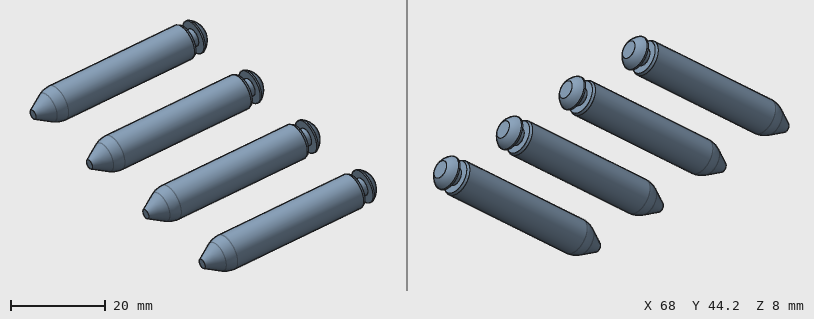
import cadquery as cq
import math

pin_count = 4
pin_pitch = 20.0

pin_diameter = 8.0
pin_length = 40.0
rear_chamfer_depth = 0.3
rear_chamfer_length = 0.6
tip_diameter = 2.2
tip_half_angle = math.radians(30.0)
nose_blend_radius = 5.0

shank_diameter = 4.0
shank_length = 10.0
head_diameter = 7.6
head_height = 2.2
head_rim_height = 0.4
head_flat_diameter = 4.0
head_gap = 2.0

hole_depth = shank_length - head_gap
AXIS_START = (0, 0, 0)
AXIS_END = (0, 1, 0)


def make_pin(x):
    """Pin with a chamfered rear, a conical nose and a blind hole for the screw."""
    radius = pin_diameter / 2
    tip_radius = tip_diameter / 2
    tip_y = -pin_length

    cone_base_radius = radius - nose_blend_radius * (1 - math.cos(tip_half_angle))
    cone_base_y = tip_y + (cone_base_radius - tip_radius) / math.tan(tip_half_angle)
    blend_start_y = cone_base_y + nose_blend_radius * math.sin(tip_half_angle)
    blend_center_radius = radius - nose_blend_radius
    half_turn = tip_half_angle / 2
    blend_middle = (
        blend_center_radius + nose_blend_radius * math.cos(half_turn),
        blend_start_y - nose_blend_radius * math.sin(half_turn),
    )

    profile = (
        cq.Workplane("XY")
        .moveTo(0, tip_y)
        .lineTo(tip_radius, tip_y)
        .lineTo(cone_base_radius, cone_base_y)
        .threePointArc(blend_middle, (radius, blend_start_y))
        .lineTo(radius, -rear_chamfer_length)
        .lineTo(radius - rear_chamfer_depth, 0)
        .lineTo(shank_diameter / 2, 0)
        .lineTo(shank_diameter / 2, -hole_depth)
        .lineTo(0, -hole_depth)
        .close()
    )
    return profile.revolve(360, AXIS_START, AXIS_END).translate((x, 0, 0))


def make_screw(x):
    """Button-head screw whose shank fills the hole in the pin."""
    shank_radius = shank_diameter / 2
    head_radius = head_diameter / 2
    flat_radius = head_flat_diameter / 2
    rim_y = head_gap + head_rim_height
    top_y = head_gap + head_height

    dome_height = top_y - rim_y
    center_drop = (head_radius**2 - flat_radius**2 - dome_height**2) / (2 * dome_height)
    dome_center_y = rim_y - center_drop
    dome_radius = math.hypot(head_radius, center_drop)
    rim_angle = math.atan2(rim_y - dome_center_y, head_radius)
    flat_angle = math.atan2(top_y - dome_center_y, flat_radius)
    middle_angle = (rim_angle + flat_angle) / 2
    dome_middle = (
        dome_radius * math.cos(middle_angle),
        dome_center_y + dome_radius * math.sin(middle_angle),
    )

    profile = (
        cq.Workplane("XY")
        .moveTo(0, -hole_depth)
        .lineTo(shank_radius, -hole_depth)
        .lineTo(shank_radius, head_gap)
        .lineTo(head_radius, head_gap)
        .lineTo(head_radius, rim_y)
        .threePointArc(dome_middle, (flat_radius, top_y))
        .lineTo(0, top_y)
        .close()
    )
    return profile.revolve(360, AXIS_START, AXIS_END).translate((x, 0, 0))


row_start_x = -pin_pitch * (pin_count - 1) / 2
bodies = []
for index in range(pin_count):
    pin_x = row_start_x + index * pin_pitch
    pin = make_pin(pin_x)
    screw = make_screw(pin_x)
    bodies.append(pin.val())
    bodies.append(screw.val())

result = cq.Compound.makeCompound(bodies)